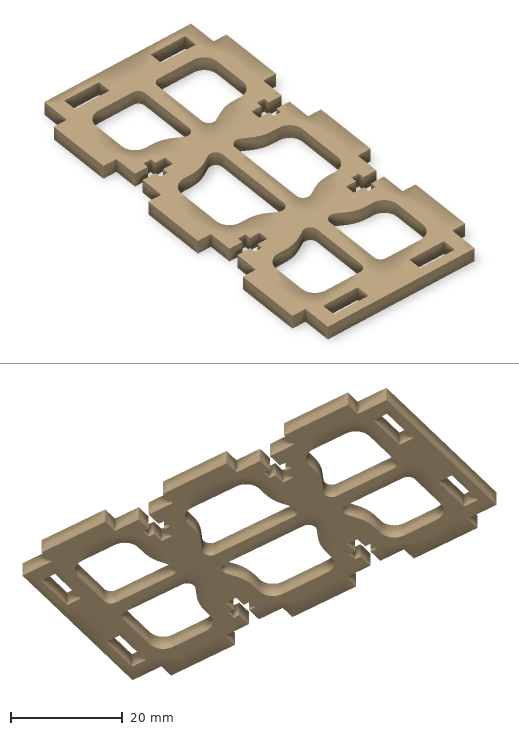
import cadquery as cq
import math

length = 80.0
overall_width = 40.0
thickness = 3.0
tab_depth = 3.0
tab_width = 14.0
bay_count = 3
bay_pitch = length / bay_count
body_width = overall_width - 2 * tab_depth
body_edge = body_width / 2

joint_x = bay_pitch / 2
notch_width = 2.2
notch_depth = 7.0
cross_width = 4.7
cross_height = 1.7
edge_margin = 3.0

slot_width = 3.0
slot_length = 8.0
slot_end_margin = 2.0

rib_width = 3.0
window_outer_y = body_edge - edge_margin
window_inner_y = rib_width / 2
window_end_x = 32.0
joint_clearance = 5.45
flare_start_y = 7.3
flare_angle = 30.0
flare_reach = (flare_start_y - window_inner_y) * math.tan(math.radians(flare_angle))
outer_corner_radius = 3.0
inner_corner_radius = 1.5
flare_radius = 8.0

mirror_signs = (1, -1)


def make_box(size_x, size_y, x, y):
    """Full-thickness block centred on (x, y)."""
    return cq.Workplane("XY").box(size_x, size_y, thickness).translate((x, y, 0))


def make_plate():
    """Body with one tab per bay on both long edges."""
    plate = make_box(length, body_width, 0, 0)
    for bay in range(bay_count):
        tab_x = (bay - (bay_count - 1) / 2) * bay_pitch
        plate = plate.union(make_box(tab_width, overall_width, tab_x, 0))
    return plate


def make_notch(x, sign):
    """Cross-shaped notch open to the long edge on the given Y side."""
    stem_y = sign * (body_edge - notch_depth / 2)
    cross_y = sign * (body_edge - edge_margin - cross_height / 2)
    stem = make_box(notch_width, notch_depth, x, stem_y)
    return stem.union(make_box(cross_width, cross_height, x, cross_y))


def make_slot(x_sign, y_sign):
    """Rectangular slot beside one short end."""
    x = x_sign * (length / 2 - slot_end_margin - slot_width / 2)
    y = y_sign * (body_edge - edge_margin - slot_length / 2)
    return make_box(slot_width, slot_length, x, y)


def round_corners(window, points, radius):
    """Round the upright edges of a window at the given corner points."""
    for x, y in points:
        corner = cq.selectors.NearestToPointSelector((x, y, 0))
        window = window.edges("|Z").edges(corner).fillet(radius)
    return window


def extrude_outline(points):
    """Full-thickness prism with a polygonal outline."""
    return cq.Workplane("XY").polyline(points).close().extrude(thickness / 2, both=True)


def make_end_window():
    """Window of the +X end bay, +Y row, flared on the side facing the joint line."""
    flank_x = joint_x + joint_clearance
    outer_corners = [(window_end_x, window_outer_y), (flank_x, window_outer_y)]
    flare_bend = (flank_x, flare_start_y)
    inner_corners = [(flank_x - flare_reach, window_inner_y), (window_end_x, window_inner_y)]
    window = extrude_outline([*outer_corners, flare_bend, *inner_corners])
    window = round_corners(window, [flare_bend], flare_radius)
    window = round_corners(window, outer_corners, outer_corner_radius)
    return round_corners(window, inner_corners, inner_corner_radius)


def make_middle_window():
    """Window of the middle bay, +Y row, flared on both sides."""
    flank_x = joint_x - joint_clearance
    tip_x = flank_x + flare_reach
    outer_corners = [(flank_x, window_outer_y), (-flank_x, window_outer_y)]
    left_bend = (-flank_x, flare_start_y)
    right_bend = (flank_x, flare_start_y)
    inner_corners = [(-tip_x, window_inner_y), (tip_x, window_inner_y)]
    window = extrude_outline([*outer_corners, left_bend, *inner_corners, right_bend])
    window = round_corners(window, [left_bend, right_bend], flare_radius)
    window = round_corners(window, outer_corners, outer_corner_radius)
    return round_corners(window, inner_corners, inner_corner_radius)


result = make_plate()

for x_sign in mirror_signs:
    for y_sign in mirror_signs:
        result = result.cut(make_notch(x_sign * joint_x, y_sign))
        result = result.cut(make_slot(x_sign, y_sign))

end_window = make_end_window()
middle_window = make_middle_window()
for window in (end_window, end_window.mirror("YZ"), middle_window):
    result = result.cut(window)
    result = result.cut(window.mirror("XZ"))